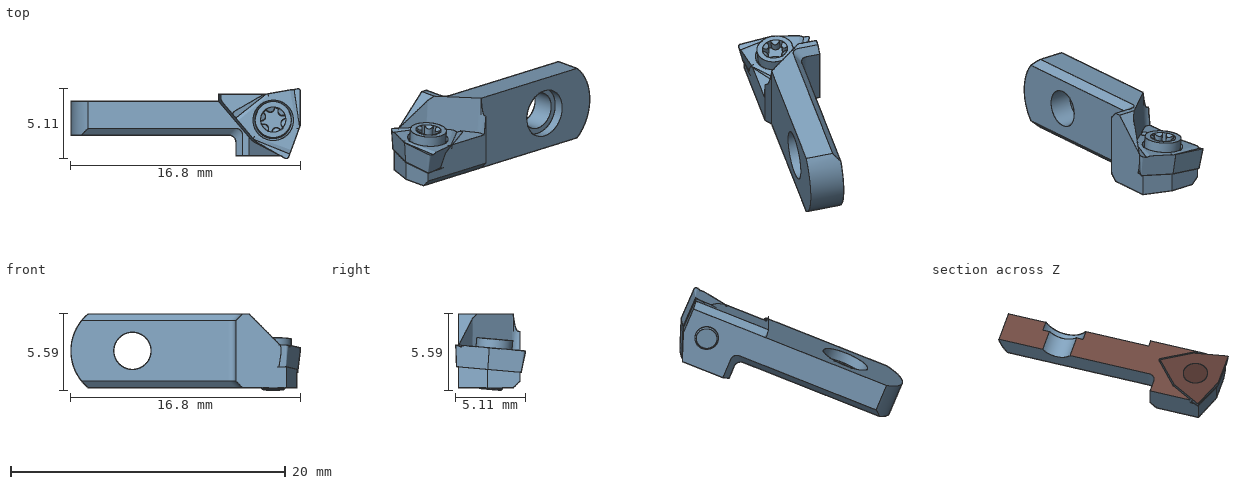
import cadquery as cq
import math

shank_thickness = 2.5
shank_height = 5.4
half_height = shank_height / 2
end_radius = 3.5
hole_diameter = 2.7
hole_x = 4.5
counterbore_diameter = 3.5
counterbore_depth = 0.75
edge_chamfer = 0.5

head_left_x = 12.04
head_back_left_x = 10.78
head_right_x = 16.5
head_back_y = 0.5
head_front_y = -4.0
inner_corner_radius = 0.5
bevel_start_x = 13.0
lip_x = 10.95
wall_draft = 7.0
wall_corner_radius = 0.5
pocket_contact_depth = 0.5

insert_x = 14.773
insert_y = -1.407
insert_top_z = 0.2
lean_angle = 5.0
inscribed_radius = 1.987
insert_thickness = 1.59
relief_angle = 7.0
nose_angle = 80.0
nose_radius = 0.2
edge_count = 3
edge_pitch = 360 / edge_count

groove_depth = 0.12
groove_root_at_nose = 0.48
groove_inner_at_nose = 0.77
groove_root_at_end = 0.05
groove_inner_at_end = 0.26
groove_run_out = 0.25

head_radius = 1.32
head_above_insert = 0.66
seat_mouth_radius = 1.48
seat_half_angle = 30.0
thread_radius = 0.86
tip_chamfer = 0.1
screw_length_below_top = 3.035
drive_radius = 0.92
drive_lobes = 6
drive_angle = 14.0
flute_radius = 0.32
drive_depth = 0.7
drive_countersink_depth = 0.2
drive_countersink_inner_radius = 0.57

clear = 12.0


def insert_plane(height):
    """Plane parallel to the insert top, at a height above it along the screw axis."""
    lean = math.radians(lean_angle)
    top = cq.Plane(
        origin=(insert_x, insert_y, insert_top_z),
        xDir=(1, 0, 0),
        normal=(0, math.sin(lean), math.cos(lean)),
    )
    return cq.Workplane(top).workplane(offset=height)


def edge_point(normal_angle, along, inward):
    """Point measured from the tangent point of the edge whose outward normal has this angle."""
    angle = math.radians(normal_angle)
    out = inscribed_radius - inward
    return (
        out * math.cos(angle) - along * math.sin(angle),
        out * math.sin(angle) + along * math.cos(angle),
    )


edge_normals = [i * edge_pitch for i in range(edge_count)]
nose_turn = 180 - nose_angle
blunt_turn = edge_pitch - nose_turn
relief_slope = math.tan(math.radians(relief_angle))

nose_ratio = math.tan(math.radians(nose_turn / 2))
blunt_ratio = math.tan(math.radians(blunt_turn / 2))
nose_reach = inscribed_radius * nose_ratio
blunt_reach = inscribed_radius * blunt_ratio


def nose_centre_point(nose_direction, beyond):
    """Point on the ray to a nose, at a distance beyond the centre of the nose arc."""
    centre_distance = (inscribed_radius - nose_radius) / math.sin(math.radians(nose_angle / 2))
    angle = math.radians(nose_direction)
    return (
        (centre_distance + beyond) * math.cos(angle),
        (centre_distance + beyond) * math.sin(angle),
    )


def trigon_prism(depth, length, taper):
    """Trigon with rounded noses, cut from the insert outline at a depth and extruded downward."""
    inset = depth * relief_slope
    radius = nose_radius - inset
    arc_start = (inscribed_radius - nose_radius) * nose_ratio
    blunt = (inscribed_radius - inset) * blunt_ratio
    sketch = insert_plane(-depth).moveTo(*edge_point(edge_normals[0], -blunt, inset))
    for normal_angle in edge_normals:
        next_normal = normal_angle + nose_turn
        sketch = (
            sketch.lineTo(*edge_point(normal_angle, arc_start, inset))
            .threePointArc(
                nose_centre_point(normal_angle + nose_turn / 2, radius),
                edge_point(next_normal, -arc_start, inset),
            )
            .lineTo(*edge_point(next_normal, blunt, inset))
        )
    return sketch.close().extrude(-length, taper=taper)


def seat_cone():
    """Conical screw seat that narrows from the insert top to the thread."""
    seat_depth = (seat_mouth_radius - thread_radius) / math.tan(math.radians(seat_half_angle))
    return (
        insert_plane(0)
        .circle(seat_mouth_radius)
        .workplane(offset=-seat_depth)
        .circle(thread_radius)
        .loft(ruled=True)
    )


def screw_passage():
    """Hole for the screw through the insert and the head."""
    bore = insert_plane(0).circle(thread_radius).extrude(-clear)
    return bore.union(seat_cone())


def shank():
    """Flat bar with a round end."""
    end_x = end_radius - math.sqrt(end_radius**2 - half_height**2)
    return (
        cq.Workplane("XZ")
        .moveTo(end_x, half_height)
        .threePointArc((0, 0), (end_x, -half_height))
        .lineTo(head_left_x, -half_height)
        .lineTo(head_left_x, half_height)
        .close()
        .extrude(shank_thickness)
    )


def head():
    """Block at the end of the shank; its end face runs under the insert's front side."""
    side_angle = -blunt_turn
    side_apothem = inscribed_radius - insert_thickness * relief_slope
    side_slope = math.tan(math.radians(side_angle))
    side_offset = side_apothem / math.cos(math.radians(side_angle))
    front_corner_x = insert_x + side_offset - (head_front_y - insert_y) * side_slope
    end_corner_y = insert_y + (side_offset - (head_right_x - insert_x)) / side_slope
    outline = [
        (head_back_left_x, head_back_y),
        (head_right_x, head_back_y),
        (head_right_x, end_corner_y),
        (front_corner_x, head_front_y),
        (head_left_x, head_front_y),
        (head_left_x, -shank_thickness),
        (head_back_left_x, -shank_thickness),
    ]
    return (
        cq.Workplane("XY", origin=(0, 0, -half_height))
        .polyline(outline)
        .close()
        .extrude(shank_height)
    )


def fillet_inner_corner(body):
    """Round the upright corner between the shank and the head."""
    corner = cq.selectors.NearestToPointSelector((head_left_x, -shank_thickness, 0))
    return body.edges(corner).fillet(inner_corner_radius)


def front_chamfer_cutter(side):
    """Chamfer along the shank front, the inner corner and the head; side is +1 at the top, -1 below.

    The space in front of the shank is pushed inward at 45 degrees, so the corner keeps its radius.
    """
    corner_x = head_left_x - inner_corner_radius
    corner_y = -shank_thickness - inner_corner_radius
    arc_reach = inner_corner_radius * math.sqrt(0.5)
    section = (
        cq.Workplane("XY", origin=(0, 0, side * (half_height - edge_chamfer)))
        .moveTo(-clear, -shank_thickness)
        .lineTo(corner_x, -shank_thickness)
        .threePointArc((corner_x + arc_reach, corner_y + arc_reach), (head_left_x, corner_y))
        .lineTo(head_left_x, -clear)
        .lineTo(-clear, -clear)
        .close()
    )
    front_space = cq.Face.makeFromWires(section.val())
    push = cq.Vector(edge_chamfer, edge_chamfer, side * edge_chamfer)
    return cq.Workplane(cq.Solid.extrudeLinear(front_space, push))


def back_chamfer_cutter():
    """Chamfer along the lower back edge of the head."""
    return (
        cq.Workplane("YZ")
        .polyline(
            [
                (head_back_y, -half_height),
                (head_back_y - edge_chamfer, -half_height),
                (head_back_y, -half_height + edge_chamfer),
            ]
        )
        .close()
        .extrude(clear * 2)
    )


def bevel_cutter():
    """45 degree slope that drops the top of the head toward the insert."""
    return (
        cq.Workplane("XZ")
        .polyline(
            [
                (bevel_start_x, half_height),
                (bevel_start_x + shank_height, half_height),
                (bevel_start_x + shank_height, -half_height),
            ]
        )
        .close()
        .extrude(clear, both=True)
    )


def clearance_cutter():
    """Space above the insert's top plane, bounded by drafted walls on the two inner edges."""
    front_angle = edge_normals[2]
    wall_angle = front_angle - blunt_turn
    lip = lip_x - insert_x
    lip_turn = wall_angle - 180
    lip_setback = wall_corner_radius * math.tan(math.radians(lip_turn / 2))
    wall_direction = math.radians(wall_angle)
    corner_along = (inscribed_radius * math.cos(wall_direction) - lip) / math.sin(wall_direction)
    corner_y = (inscribed_radius - lip * math.cos(wall_direction)) / math.sin(wall_direction)
    arc_middle_direction = math.radians(180 + lip_turn / 2)
    arc_middle = (
        lip + wall_corner_radius * (1 + math.cos(arc_middle_direction)),
        corner_y + lip_setback + wall_corner_radius * math.sin(arc_middle_direction),
    )
    return (
        insert_plane(0)
        .moveTo(lip, clear)
        .lineTo(lip, corner_y + lip_setback)
        .threePointArc(arc_middle, edge_point(wall_angle, corner_along + lip_setback, 0))
        .lineTo(*edge_point(wall_angle, blunt_reach, 0))
        .lineTo(*edge_point(front_angle, clear, 0))
        .lineTo(clear, clear)
        .close()
        .extrude(half_height * 2, taper=-wall_draft)
    )


def pocket_cutter():
    """Seat of the insert: its flanks touch near the top, and the walls run straight below."""
    relief = trigon_prism(pocket_contact_depth, insert_thickness - pocket_contact_depth, 0)
    return trigon_prism(0, insert_thickness, relief_angle).union(relief)


def mounting_hole_cutter():
    """Through hole with a counterbore on the shank's back face."""
    bore = cq.Workplane("XZ").center(hole_x, 0).circle(hole_diameter / 2).extrude(shank_thickness)
    counterbore = (
        cq.Workplane("XZ").center(hole_x, 0).circle(counterbore_diameter / 2).extrude(counterbore_depth)
    )
    return bore.union(counterbore)


def make_holder():
    body = fillet_inner_corner(shank().union(head()))
    cutters = [
        mounting_hole_cutter(),
        front_chamfer_cutter(1),
        front_chamfer_cutter(-1),
        back_chamfer_cutter(),
        bevel_cutter(),
        clearance_cutter(),
        pocket_cutter(),
        screw_passage(),
    ]
    for cutter in cutters:
        body = body.cut(cutter)
    return body


def groove_section(normal_angle, along, root, inner):
    """Triangle across a chip groove, as world points: edge, root and inner lip."""
    top = insert_plane(0).plane
    bottom = insert_plane(-groove_depth * root / groove_root_at_nose).plane
    return cq.Wire.makePolygon(
        [
            top.toWorldCoords(edge_point(normal_angle, along, 0)),
            bottom.toWorldCoords(edge_point(normal_angle, along, root)),
            top.toWorldCoords(edge_point(normal_angle, along, inner)),
        ],
        close=True,
    )


def groove_cutter(normal_angle):
    """V groove that widens from the blunt corner of an edge to its nose."""
    end_along = -blunt_reach - groove_run_out
    at_end = groove_section(normal_angle, end_along, groove_root_at_end, groove_inner_at_end)
    at_nose = groove_section(normal_angle, nose_reach, groove_root_at_nose, groove_inner_at_nose)
    return cq.Workplane(cq.Solid.makeLoft([at_end, at_nose], True))


def make_insert():
    body = trigon_prism(0, insert_thickness, relief_angle)
    for normal_angle in edge_normals:
        body = body.cut(groove_cutter(normal_angle))
    return body.cut(screw_passage())


def drive_recess():
    """Six-lobed recess: a round pocket less the flutes, with a conical mouth."""
    recess = insert_plane(head_above_insert).circle(drive_radius).extrude(-drive_depth)
    flutes = (
        insert_plane(head_above_insert)
        .polarArray(drive_radius, drive_angle + 180 / drive_lobes, 360, drive_lobes)
        .circle(flute_radius)
        .extrude(-drive_depth)
    )
    mouth = (
        insert_plane(head_above_insert)
        .circle(drive_radius)
        .workplane(offset=-drive_countersink_depth)
        .circle(drive_countersink_inner_radius)
        .loft(ruled=True)
    )
    return recess.cut(flutes).union(mouth)


def make_screw():
    seat_level = (seat_mouth_radius - head_radius) / math.tan(math.radians(seat_half_angle))
    head_cylinder = (
        insert_plane(head_above_insert).circle(head_radius).extrude(-head_above_insert - seat_level)
    )
    below_seat = insert_plane(-seat_level).circle(seat_mouth_radius).extrude(-clear)
    cone = seat_cone().intersect(below_seat)
    thread = (
        insert_plane(-screw_length_below_top)
        .circle(thread_radius)
        .extrude(screw_length_below_top)
        .faces("<Z")
        .chamfer(tip_chamfer)
    )
    return thread.union(cone).union(head_cylinder).cut(drive_recess())


holder = make_holder()
insert = make_insert()
screw = make_screw()

result = cq.Compound.makeCompound([holder.val(), insert.val(), screw.val()])